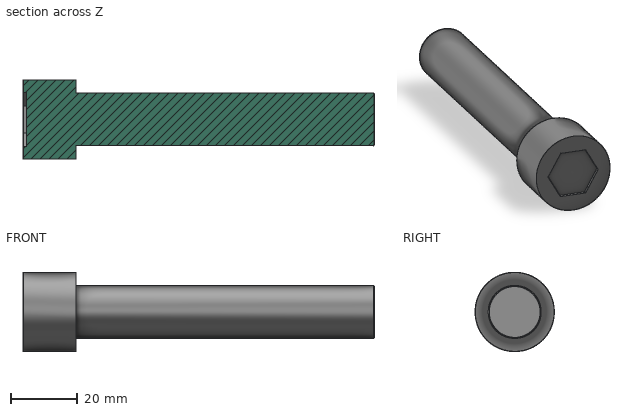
import cadquery as cq
import math

total_length = 106.0
head_diameter = 24.0
shank_diameter = 16.0
head_height = shank_diameter
socket_across_flats = 14.0
socket_depth = 1.0
tip_chamfer = 0.3

shank_length = total_length - head_height
socket_across_corners = socket_across_flats / math.cos(math.pi / 6)


def make_head():
    """Cylindrical head, from its outer face at X = 0."""
    return cq.Workplane("YZ").circle(head_diameter / 2).extrude(head_height)


def make_shank():
    """Plain shank with a chamfered tip, from the underside of the head."""
    shank = cq.Workplane("YZ", origin=(head_height, 0, 0)).circle(shank_diameter / 2).extrude(shank_length)
    return shank.faces(">X").chamfer(tip_chamfer)


def make_socket():
    """Blind hexagonal socket with two corners on the Y axis."""
    return cq.Workplane("YZ").polygon(6, socket_across_corners).extrude(socket_depth)


result = make_head().union(make_shank()).cut(make_socket())